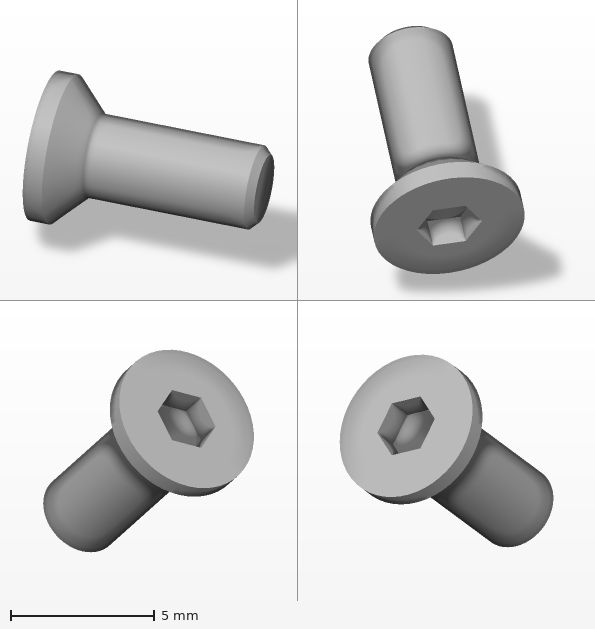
import cadquery as cq
import math

total_length = 8.0
head_diameter = 5.35
rim_thickness = 0.7
shank_diameter = 3.0
tip_chamfer = 0.28
neck_fillet = 0.1
socket_width = 2.0
socket_depth = 1.1
socket_point_angle = 120.0

head_radius = head_diameter / 2
shank_radius = shank_diameter / 2
neck_x = rim_thickness + head_radius - shank_radius

body = (
    cq.Workplane("XY")
    .polyline([
        (0, 0),
        (0, head_radius),
        (rim_thickness, head_radius),
        (neck_x, shank_radius),
        (total_length - tip_chamfer, shank_radius),
        (total_length, shank_radius - tip_chamfer),
        (total_length, 0),
    ])
    .close()
    .revolve(360, (0, 0, 0), (1, 0, 0))
)

neck_edge = cq.selectors.BoxSelector(
    (neck_x - neck_fillet, -head_radius, -head_radius),
    (neck_x + neck_fillet, head_radius, head_radius),
    boundingbox=True,
)
body = body.edges(neck_edge).fillet(neck_fillet)

socket_corner_diameter = socket_width / math.cos(math.radians(30))
socket = cq.Workplane("YZ").polygon(6, socket_corner_diameter).extrude(socket_depth)

point_radius = socket_width / 2
point_depth = point_radius / math.tan(math.radians(socket_point_angle / 2))
drill_point = (
    cq.Workplane("XY")
    .polyline([
        (socket_depth, 0),
        (socket_depth, point_radius),
        (socket_depth + point_depth, 0),
    ])
    .close()
    .revolve(360, (0, 0, 0), (1, 0, 0))
)

result = body.cut(socket).cut(drill_point)